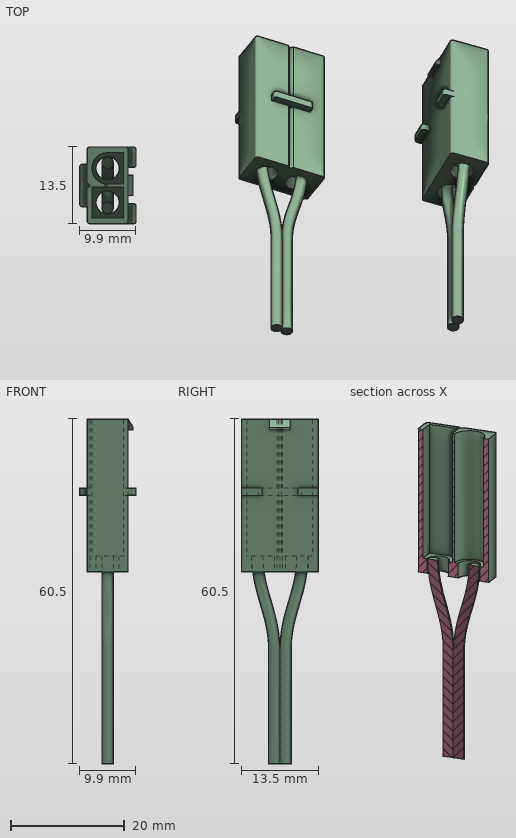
import cadquery as cq

HOUSING_X = 7.2
HOUSING_Y = 13.5
HOUSING_Z = 26.8
CORNER_RADIUS = 0.5
GROOVE_DEPTH = 0.5

CHAMBER_SIZE = 5.5
CHAMBER_PITCH = 6.0
FLOOR_THICKNESS = 2.8
WIRE_HOLE_DIAMETER = 4.05

TAB_THICKNESS = 1.3
TAB_TOP_BELOW_RIM = 12.1
TAB_RADIUS = 0.5
REAR_TAB_REACH = 1.3
REAR_TAB_LENGTH = 7.5
FRONT_TAB_REACH = 1.4
FRONT_TAB_LENGTH = 3.6

LATCH_REACH = 0.9
LATCH_WIDTH = 3.6
LATCH_HEIGHT = 1.9
LATCH_LIP = 0.4

WIRE_DIAMETER = 2.0
OVERALL_HEIGHT = 60.49
WIRE_BOTTOM_Z = HOUSING_Z - OVERALL_HEIGHT
STRAIGHT_LENGTH = 20.0
WIRE_TOP_OFFSET = 3.95

CHAMBER_Y = CHAMBER_PITCH / 2
SIDE_X = HOUSING_X / 2
TAB_BOTTOM_Z = HOUSING_Z - TAB_TOP_BELOW_RIM - TAB_THICKNESS


def make_block():
    """Rounded block with a V groove down the middle of its -X side."""
    block = cq.Workplane("XY").box(HOUSING_X, HOUSING_Y, HOUSING_Z, centered=(True, True, False))
    block = block.edges("|Z").fillet(CORNER_RADIUS)
    groove = (
        cq.Workplane("XY")
        .moveTo(-SIDE_X, -GROOVE_DEPTH)
        .lineTo(-SIDE_X + GROOVE_DEPTH, 0)
        .lineTo(-SIDE_X, GROOVE_DEPTH)
        .close()
        .extrude(HOUSING_Z)
    )
    return block.cut(groove)


def make_tab(side, reach, length, center_y):
    """Tab on the +X (side = 1) or -X (side = -1) face, with its outer corners rounded.

    Its root is buried in the wall, deep enough to fill the groove and the rounded block corners.
    """
    root = max(CORNER_RADIUS, GROOVE_DEPTH)
    tab = (
        cq.Workplane("XY", origin=(side * (SIDE_X + (reach - root) / 2), center_y, TAB_BOTTOM_Z))
        .box(reach + root, length, TAB_THICKNESS, centered=(True, True, False))
    )
    outer_edges = "|Z and >X" if side > 0 else "|Z and <X"
    return tab.edges(outer_edges).fillet(TAB_RADIUS)


def make_latch():
    """Wedge on the +X side that slopes out from the rim to a square catch below."""
    return (
        cq.Workplane("XZ", origin=(0, LATCH_WIDTH / 2, 0))
        .moveTo(SIDE_X, HOUSING_Z)
        .lineTo(SIDE_X + LATCH_REACH, HOUSING_Z - LATCH_HEIGHT + LATCH_LIP)
        .lineTo(SIDE_X + LATCH_REACH, HOUSING_Z - LATCH_HEIGHT)
        .lineTo(SIDE_X, HOUSING_Z - LATCH_HEIGHT)
        .close()
        .extrude(LATCH_WIDTH)
    )


def make_square_chamber():
    """Square chamber on the -Y side."""
    return (
        cq.Workplane("XY", origin=(0, -CHAMBER_Y, FLOOR_THICKNESS))
        .rect(CHAMBER_SIZE, CHAMBER_SIZE)
        .extrude(HOUSING_Z - FLOOR_THICKNESS)
    )


def make_keyed_chamber():
    """Chamber on the +Y side: square towards +X and half round towards -X."""
    half = CHAMBER_SIZE / 2
    return (
        cq.Workplane("XY", origin=(0, CHAMBER_Y, FLOOR_THICKNESS))
        .moveTo(0, -half)
        .lineTo(half, -half)
        .lineTo(half, half)
        .lineTo(0, half)
        .threePointArc((-half, 0), (0, -half))
        .close()
        .extrude(HOUSING_Z - FLOOR_THICKNESS)
    )


def make_housing():
    """Block with its tabs and latch, hollowed by the chambers and their wire holes."""
    housing = make_block()
    housing = housing.union(make_tab(-1, REAR_TAB_REACH, REAR_TAB_LENGTH, 0))
    front_tab_y = (HOUSING_Y - FRONT_TAB_LENGTH) / 2
    for sign in (-1, 1):
        housing = housing.union(make_tab(1, FRONT_TAB_REACH, FRONT_TAB_LENGTH, sign * front_tab_y))
    housing = housing.union(make_latch())
    housing = housing.cut(make_square_chamber()).cut(make_keyed_chamber())
    wire_holes = (
        cq.Workplane("XY")
        .pushPoints([(0, -CHAMBER_Y), (0, CHAMBER_Y)])
        .circle(WIRE_HOLE_DIAMETER / 2)
        .extrude(FLOOR_THICKNESS)
    )
    return housing.cut(wire_holes).solids()


def make_wire(sign):
    """Wire on the +Y (sign = 1) or -Y (sign = -1) side, ending level with the chamber floor."""
    start_y = sign * WIRE_DIAMETER / 2
    bend_z = WIRE_BOTTOM_Z + STRAIGHT_LENGTH
    straight = (
        cq.Workplane("XY", origin=(0, start_y, WIRE_BOTTOM_Z))
        .circle(WIRE_DIAMETER / 2)
        .extrude(STRAIGHT_LENGTH)
    )
    bend_path = cq.Workplane("YZ").spline(
        [(start_y, bend_z), (sign * WIRE_TOP_OFFSET, FLOOR_THICKNESS)],
        tangents=[(0, 1), (0, 1)],
    )
    bend = (
        cq.Workplane("XY", origin=(0, start_y, bend_z))
        .circle(WIRE_DIAMETER / 2)
        .sweep(bend_path)
    )
    return straight.union(bend).solids()


housing = make_housing()
wires = [make_wire(sign) for sign in (-1, 1)]

result = cq.Compound.makeCompound([housing.val(), *[wire.val() for wire in wires]])